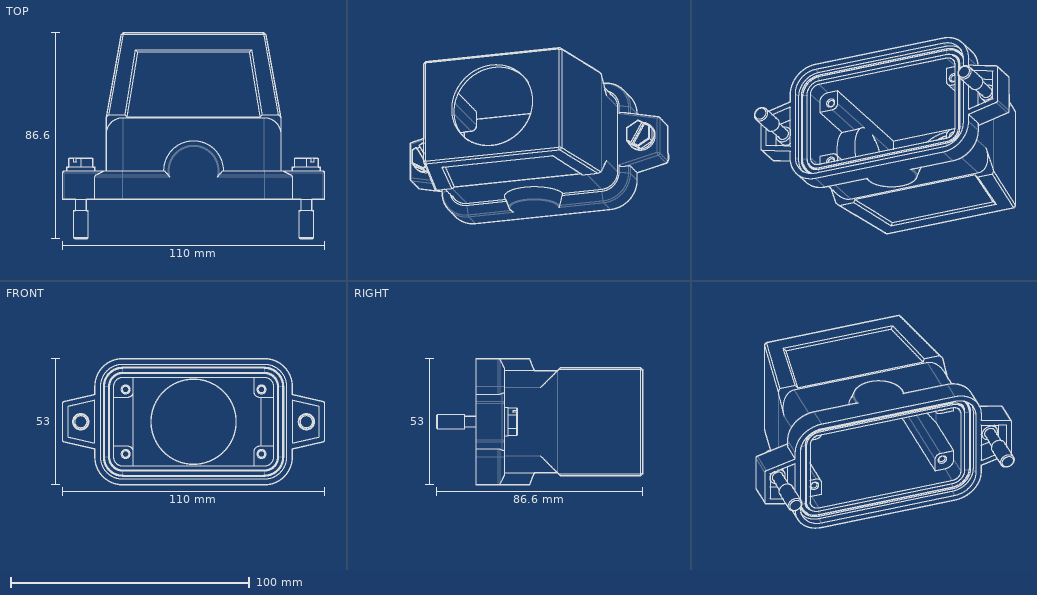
import cadquery as cq

rim_width, rim_height, rim_radius = 82.9, 53.0, 11.8
flange_depth = 12.0
flange_slope_inset, flange_slope_depth, flange_edge_radius = 4.2, 2.1, 1.0
body_width, body_height, body_radius = 73.4, 42.9, 7.0

hood_height, hood_end_width = 45.4, 60.5
hood_start, hood_end = 34.2, 70.0
hood_edge = 0.9

panel_end, panel_start_width, panel_end_width = 62.7, 58.3, 48.8
panel_depth, panel_draft = 0.9, 1.0
boss_base_radius, boss_top_radius, boss_edge_radius = 12.5, 10.6, 0.4

recess_inset, recess_depth = 2.4, 3.3
groove_outer_inset, groove_inner_inset, groove_depth = 3.6, 6.3, 1.3
bead_radius = 1.0
cavity_inset = 7.9
cavity_end_width = 56.8
rear_wall = 3.2
cable_hole_radius = 17.8

post_x, post_z, post_front, post_corner = 25.3, 10.2, 12.3, 2.4
post_hole_x, post_hole_z = 28.5, 13.5
post_hole_diameter, post_countersink_diameter, post_hole_depth = 2.8, 3.7, 11.0
stub_radius, stub_y = 13.2, 42.4

ear_end_x, ear_end_half, ear_root_half = 55.0, 8.4, 11.4
ear_corner, ear_back_edge = 0.9, 1.0
ear_wall, ear_floor = 2.4, 2.5
collar_radius, collar_front = 3.4, 5.7

screw_x = 47.3
washer_radius, washer_thickness = 5.9, 1.5
head_across_corners, head_height, head_edge = 11.7, 3.8, 0.3
slot_width, slot_depth, slot_angle = 1.4, 1.8, 60
neck_radius = 2.3
thread_radius, thread_start, thread_end, thread_chamfer = 3.1, 4.7, 16.6, 0.5

cavity_width = rim_width - 2 * cavity_inset
cavity_height = rim_height - 2 * cavity_inset
cavity_end = hood_end - rear_wall
overlap = 1.1
pick_margin = 0.5


def plane_at(y):
    """XZ plane at y that extrudes toward +Y; its local axes are -X and Z."""
    return cq.Workplane(cq.Plane(origin=(0, y, 0), xDir=(-1, 0, 0), normal=(0, 1, 0)))


def rounded_block(width, height, radius, y_start, y_end):
    block = plane_at(y_start).rect(width, height).extrude(y_end - y_start)
    return block.edges("|Y").fillet(radius)


def rim_block(inset, y_start, y_end):
    """Block that follows the rim outline, moved inward by inset."""
    return rounded_block(rim_width - 2 * inset, rim_height - 2 * inset, rim_radius - inset, y_start, y_end)


def tapered_block(front_half, rear_half, y_end, half_height):
    """Block that narrows in X from hood_start to y_end."""
    plan = [
        (-front_half, 0), (-front_half, hood_start), (-rear_half, y_end),
        (rear_half, y_end), (front_half, hood_start), (front_half, 0),
    ]
    return cq.Workplane("XY").polyline(plan).close().extrude(half_height, both=True)


def with_mirror(shape, plane):
    return shape.union(shape.mirror(plane))


def make_flange():
    flange = rim_block(0, 0, flange_depth)
    flange = flange.faces(">Y").chamfer(flange_slope_depth, flange_slope_inset)
    edge_y = flange_depth - flange_slope_depth
    edge_band = cq.selectors.BoxSelector(
        (-rim_width, edge_y - pick_margin, -rim_height), (rim_width, edge_y + pick_margin, rim_height))
    return flange.edges(edge_band).fillet(flange_edge_radius)


def make_hood():
    """Tapered block whose front overhang runs back to the body corners at 45 degrees."""
    half = hood_height / 2
    low = body_height / 2 - body_radius
    nose = hood_start - body_radius
    profile = [
        (nose, low), (nose + half - low, half), (hood_end, half),
        (hood_end, -half), (nose + half - low, -half), (nose, -low),
    ]
    side = cq.Workplane("YZ").polyline(profile).close().extrude(body_width / 2, both=True)
    outline = tapered_block(body_width / 2, hood_end_width / 2, hood_end, half)
    hood = side.intersect(outline)
    side_edges = cq.selectors.BoxSelector(
        (-body_width, hood_start + 4 * pick_margin, -hood_height), (body_width, hood_end - pick_margin, hood_height))
    hood = hood.edges(side_edges).chamfer(hood_edge)
    return hood.faces(">Y").edges().chamfer(hood_edge)


def panel_outline(inset, z):
    front = hood_start - overlap
    start_half = panel_start_width / 2 - inset
    end_half = panel_end_width / 2 - inset
    corners = [(-start_half, front), (start_half, front),
               (end_half, panel_end - inset), (-end_half, panel_end - inset)]
    return cq.Wire.makePolygon([cq.Vector(x, y, z) for x, y in corners], close=True)


def make_panels():
    """Cutters for the drafted panels; they run out through the front of the hood."""
    floor = panel_outline(panel_draft, hood_height / 2 - panel_depth)
    top = panel_outline(0, hood_height / 2)
    return with_mirror(cq.Workplane(cq.Solid.makeLoft([floor, top], True)), "XY")


def make_bosses():
    base_z = body_height / 2
    cone = cq.Workplane(cq.Solid.makeCone(
        boss_base_radius, boss_top_radius, rim_height / 2 - base_z,
        pnt=cq.Vector(0, flange_depth, base_z), dir=cq.Vector(0, 0, 1)))
    boss = cone.faces(">Z").edges().fillet(boss_edge_radius)
    front_half = plane_at(flange_depth / 2 - rim_height).rect(rim_width, rim_height).extrude(rim_height)
    return with_mirror(boss.cut(front_half), "XY")


def make_ear():
    """Ear on the +X side: a tapered box open toward -Y, with a collar around the screw."""
    root_x = rim_width / 2
    root = root_x - flange_slope_inset - overlap
    slope = (ear_root_half - ear_end_half) / (ear_end_x - root_x)

    def half_at(x):
        return ear_end_half + slope * (ear_end_x - x)

    def trapezoid(x_start, x_end, inset):
        start, end = half_at(x_start) - inset, half_at(x_end) - inset
        return cq.Workplane("XZ").polyline(
            [(x_start, -start), (x_end, -end), (x_end, end), (x_start, start)]).close()

    ear = trapezoid(root, ear_end_x, 0).extrude(-flange_depth)
    ear = ear.edges("|Y and >X").fillet(ear_corner)
    ear = ear.faces(">Y").edges("not <X").fillet(ear_back_edge)
    pocket = trapezoid(root_x, ear_end_x - ear_wall, ear_wall).extrude(ear_floor - flange_depth)
    collar = plane_at(collar_front).center(-screw_x, 0).circle(collar_radius)
    return ear.cut(pocket).union(collar.extrude(flange_depth - ear_floor - collar_front))


def make_screw():
    """Screw on the +X side: washer, slotted hexagon head, neck and thread."""
    washer_end = flange_depth + washer_thickness
    head_end = washer_end + head_height
    washer = plane_at(flange_depth).circle(washer_radius).extrude(washer_thickness)
    head = plane_at(washer_end).transformed(rotate=(0, 0, 90))
    head = head.polygon(6, head_across_corners).extrude(head_height)
    head = head.faces(">Y").edges().chamfer(head_edge)
    slot = plane_at(head_end - slot_depth).transformed(rotate=(0, 0, -slot_angle - 180))
    slot = slot.rect(head_across_corners, slot_width).extrude(slot_depth)
    neck = plane_at(-thread_start).circle(neck_radius).extrude(thread_start + flange_depth)
    thread = plane_at(-thread_end).circle(thread_radius).extrude(thread_end - thread_start)
    thread = thread.faces("<Y").edges().chamfer(thread_chamfer)
    screw = washer.union(head.cut(slot)).union(neck).union(thread)
    return screw.translate((screw_x, 0, 0))


def make_cavity():
    outline = tapered_block(cavity_width / 2, cavity_end_width / 2, cavity_end, cavity_height)
    return outline.intersect(rim_block(cavity_inset, 0, cavity_end))


def make_posts(cavity):
    """Four drilled posts that fill the cavity corners."""
    block = cq.Workplane("XY").box(
        cavity_width, cavity_end - post_front, cavity_height, centered=False)
    post = block.edges("|Y and <X and <Z").fillet(post_corner).translate((post_x, post_front, post_z))
    hole = plane_at(post_front).center(-post_hole_x, post_hole_z)
    hole = hole.circle(post_hole_diameter / 2).extrude(post_hole_depth)
    mouth = cq.Workplane(cq.Solid.makeCone(
        post_countersink_diameter / 2, post_hole_diameter / 2,
        (post_countersink_diameter - post_hole_diameter) / 2,
        pnt=cq.Vector(post_hole_x, post_front, post_hole_z), dir=cq.Vector(0, 1, 0)))
    post = post.intersect(cavity).cut(hole).cut(mouth)
    return with_mirror(with_mirror(post, "XY"), "YZ")


def make_stub(cavity):
    """Round stub along X on the -X wall, ending level with the posts."""
    length = cavity_width / 2 - post_x
    stub = cq.Workplane("YZ", origin=(-cavity_width / 2, 0, 0)).center(stub_y, 0)
    return stub.circle(stub_radius).extrude(length).intersect(cavity)


def make_opening():
    """Cutter for the stepped recess and the seal groove around the mouth."""
    groove_end = recess_depth + groove_depth
    groove = rim_block(groove_outer_inset, recess_depth, groove_end)
    groove = groove.cut(rim_block(groove_inner_inset, recess_depth, groove_end))
    return rim_block(recess_inset, 0, recess_depth).union(groove)


def make_bead():
    """Round seal bead lying in the groove."""
    inset = (groove_outer_inset + groove_inner_inset) / 2
    bead_y = recess_depth + groove_depth - bead_radius / 2
    path = rim_block(inset, bead_y, bead_y + overlap).faces("<Y").wires().val()
    half_height = rim_height / 2 - inset
    section = cq.Workplane("YZ").center(bead_y, half_height).circle(bead_radius)
    return section.sweep(cq.Workplane(path), transition="right")


cavity = make_cavity()
body = rounded_block(body_width, body_height, body_radius, 0, hood_start)
shell = body.union(make_flange()).union(make_hood()).union(make_bosses()).cut(make_panels())
shell = shell.union(with_mirror(make_ear(), "YZ"))
shell = shell.cut(cavity).cut(make_opening())
cable_hole = plane_at(cavity_end).circle(cable_hole_radius).extrude(rear_wall)
shell = shell.union(make_posts(cavity)).union(make_stub(cavity)).cut(cable_hole).union(make_bead())
result = shell.union(with_mirror(make_screw(), "YZ"))